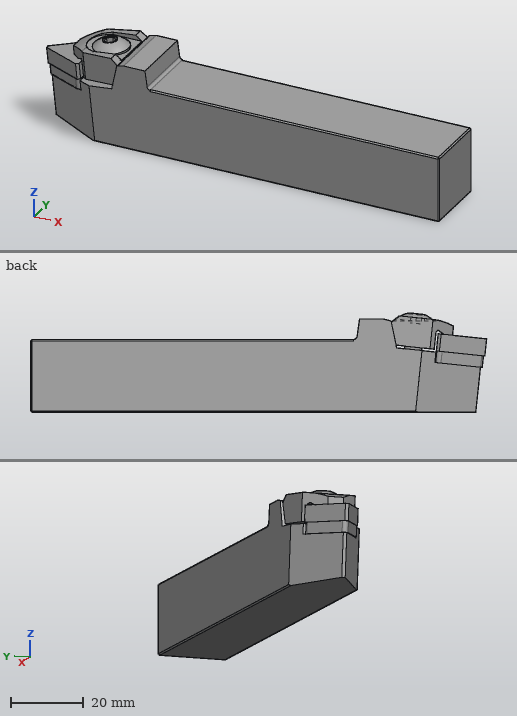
import cadquery as cq
import math


TOTAL_LENGTH = 125.0
WIDTH = 20.0
HALF_WIDTH = WIDTH / 2
SHANK_HEIGHT = 20.0
SHANK_CHAMFER = 0.4

BLOCK_TOP_Z = 25.6
BLOCK_FRONT_X = 26.25
BLOCK_SLOPE_END_X = 28.35
BLOCK_EDGE_DROP = 0.55
BLOCK_REAR_X = 34.9
BLOCK_REAR_LEAN = 8.0
BLOCK_FOOT_RADIUS = 0.9
SEAT_WALL_LEAN = 12.0

TIP_Z = 20.14
RAKE_ANGLE = 6.0

INSERT_HEIGHT = 14.29
INSERT_THICKNESS = 4.76
CORNER_FLAT = 1.0
CORNER_FLAT_DEPTH = CORNER_FLAT * math.sqrt(3) / 2

PLATE_THICKNESS = 3.18
PLATE_INSET = 0.12
PLATE_CORNER_RADIUS = 1.0
POCKET_WALL_U = INSERT_HEIGHT - CORNER_FLAT_DEPTH
CLAMP_FLOOR_W = -5.05

CLAMP_NOSE_U = 9.4
CLAMP_NOSE_HALF_WIDTH = 2.25
CLAMP_SIDE_U = 15.2
CLAMP_SIDE_HALF_WIDTH = 7.7
CLAMP_REAR_U = 27.0
CLAMP_REAR_HALF_WIDTH = 9.4
CLAMP_BOTTOM_W = -4.38
CLAMP_REAR_TOP_Z = 24.7
CLAMP_TOP_W = 3.74
CLAMP_NOSE_TOP_W = 2.52
CLAMP_CROWN_U = 14.6
CLAMP_CROWN_RISE = 0.25
CLAMP_LEG_U = 14.0
RELIEF_START_U = 11.9
RELIEF_PEAK_U = 13.5
RELIEF_DEPTH = 0.9
REAR_CHAMFER_U = 24.55
HEEL_CHAMFER = 0.15
CHANNEL_FLOOR_Z = 24.95
CHANNEL_HALF_WIDTH = 6.2
CHANNEL_RADIUS = 6.6

SCREW_U = 19.8
SCREW_HEAD_DIAMETER = 11.0
SCREW_HEAD_RISE = 2.4
SCREW_HEAD_BASE_W = 2.76
SCREW_HEAD_RIM = 1.0
SHAFT_DIAMETER = 4.8
SHAFT_ENGAGEMENT = 1.0
SOCKET_WIDTH = 3.0
SOCKET_MOUTH_DIAMETER = 4.2
SOCKET_MOUTH_DEPTH = 0.6
SOCKET_DEPTH = 3.0

FAR = 150.0
rake = math.radians(RAKE_ANGLE)
normal = cq.Vector(-math.sin(rake), 0, math.cos(rake))
along_u = cq.Vector(math.cos(rake), 0, math.sin(rake))


def point(u, w):
    """X and Z of a point in the tilted frame."""
    return (
        u * math.cos(rake) - w * math.sin(rake),
        TIP_Z + u * math.sin(rake) + w * math.cos(rake),
    )


def tilted_plane(u, w):
    """Plane parallel to the insert's top face with its origin at u, w."""
    x, z = point(u, w)
    return cq.Plane(cq.Vector(x, 0, z), along_u, normal)


def corner_edges(body):
    return body.edges(cq.selectors.ParallelDirSelector(normal))


def triangle_prism(tip_u, height, bottom_w, thickness):
    """Equilateral prism with its sharp corner pointing along -u."""
    half_side = height / math.sqrt(3)
    outline = [(tip_u, 0), (tip_u + height, -half_side), (tip_u + height, half_side)]
    return cq.Workplane(tilted_plane(0, bottom_w)).polyline(outline).close().extrude(thickness)


seat_lean = math.tan(math.radians(SEAT_WALL_LEAN))
seat_wall_top = (BLOCK_FRONT_X, BLOCK_TOP_Z - BLOCK_EDGE_DROP)
floor_front = point(POCKET_WALL_U, CLAMP_FLOOR_W)
floor_slope = math.tan(rake)
seat_foot_x = (
    seat_wall_top[0] - seat_lean * (seat_wall_top[1] - floor_front[1] + floor_slope * floor_front[0])
) / (1 - seat_lean * floor_slope)
seat_foot = (seat_foot_x, floor_front[1] + floor_slope * (seat_foot_x - floor_front[0]))
pocket_floor_w = -INSERT_THICKNESS - PLATE_THICKNESS


def seat_wall_x(z):
    return seat_wall_top[0] - seat_lean * (seat_wall_top[1] - z)


def make_shank():
    size = (TOTAL_LENGTH, WIDTH, SHANK_HEIGHT)
    shank = cq.Workplane("XY").box(*size, centered=(False, True, False))
    return shank.edges("|X or >X").chamfer(SHANK_CHAMFER)


def make_block():
    lean = math.radians(BLOCK_REAR_LEAN)
    corner_x = BLOCK_REAR_X + (BLOCK_TOP_Z - SHANK_HEIGHT) * math.tan(lean)
    tangent = BLOCK_FOOT_RADIUS * math.tan((math.pi / 2 - lean) / 2)
    foot_end_x = corner_x + tangent
    foot_start = (corner_x - tangent * math.sin(lean), SHANK_HEIGHT + tangent * math.cos(lean))
    mid_angle = (math.pi / 2 - lean) / 2
    foot_mid = (
        foot_end_x - BLOCK_FOOT_RADIUS * math.sin(mid_angle),
        SHANK_HEIGHT + BLOCK_FOOT_RADIUS * (1 - math.cos(mid_angle)),
    )
    return (
        cq.Workplane("XZ", origin=(0, HALF_WIDTH, 0))
        .moveTo(0, SHANK_HEIGHT / 2)
        .lineTo(0, BLOCK_TOP_Z)
        .lineTo(BLOCK_REAR_X, BLOCK_TOP_Z)
        .lineTo(*foot_start)
        .threePointArc(foot_mid, (foot_end_x, SHANK_HEIGHT))
        .lineTo(foot_end_x, SHANK_HEIGHT / 2)
        .close()
        .extrude(WIDTH)
    )


def make_seat_cut():
    """Everything removed above the plate pocket, the clamp floor and the block's sloped front."""
    outline = [
        point(-HALF_WIDTH, pocket_floor_w),
        point(POCKET_WALL_U, pocket_floor_w),
        floor_front,
        seat_foot,
        seat_wall_top,
        (BLOCK_SLOPE_END_X, BLOCK_TOP_Z),
        (BLOCK_SLOPE_END_X, FAR),
        (-FAR, FAR),
    ]
    return cq.Workplane("XZ", origin=(0, HALF_WIDTH, 0)).polyline(outline).close().extrude(WIDTH)


def make_head_wedge():
    """Tilted 60 degree wedge, opening to a bar wider than the shank."""
    reach = WIDTH
    start_u = CORNER_FLAT_DEPTH
    wedge_u = reach * math.sqrt(3)
    half_flat = CORNER_FLAT / 2
    outline = [
        (start_u, -half_flat),
        (wedge_u, -reach),
        (FAR, -reach),
        (FAR, reach),
        (wedge_u, reach),
        (start_u, half_flat),
    ]
    return cq.Workplane(tilted_plane(0, -FAR / 2)).polyline(outline).close().extrude(FAR)


def make_seat_plate():
    tip_u = -CORNER_FLAT_DEPTH + 2 * PLATE_INSET
    height = INSERT_HEIGHT - 3 * PLATE_INSET
    plate = triangle_prism(tip_u, height, pocket_floor_w, PLATE_THICKNESS)
    return corner_edges(plate).fillet(PLATE_CORNER_RADIUS)


def make_clamp():
    half_outline = [
        (CLAMP_NOSE_U, CLAMP_NOSE_HALF_WIDTH),
        (CLAMP_SIDE_U, CLAMP_SIDE_HALF_WIDTH),
        (CLAMP_REAR_U, CLAMP_REAR_HALF_WIDTH),
    ]
    outline = half_outline + [(u, -y) for u, y in reversed(half_outline)]
    height = CLAMP_TOP_W - CLAMP_BOTTOM_W
    plan = cq.Workplane(tilted_plane(0, CLAMP_BOTTOM_W)).polyline(outline).close().extrude(height)

    heel_z = point(seat_foot[0], CLAMP_BOTTOM_W)[1]
    crown_mid = (
        (CLAMP_NOSE_U + CLAMP_CROWN_U) / 2,
        (CLAMP_NOSE_TOP_W + CLAMP_TOP_W) / 2 + CLAMP_CROWN_RISE,
    )
    profile = (
        cq.Workplane("XZ", origin=(0, HALF_WIDTH, 0))
        .moveTo(*point(CLAMP_NOSE_U, 0))
        .lineTo(*point(CLAMP_NOSE_U, CLAMP_NOSE_TOP_W))
        .threePointArc(point(*crown_mid), point(CLAMP_CROWN_U, CLAMP_TOP_W))
        .lineTo(*point(REAR_CHAMFER_U, CLAMP_TOP_W))
        .lineTo(seat_wall_x(CLAMP_REAR_TOP_Z), CLAMP_REAR_TOP_Z)
        .lineTo(seat_wall_x(heel_z + HEEL_CHAMFER), heel_z + HEEL_CHAMFER)
        .lineTo(seat_wall_x(heel_z) - HEEL_CHAMFER, heel_z)
        .lineTo(*point(CLAMP_LEG_U, CLAMP_BOTTOM_W))
        .lineTo(*point(CLAMP_LEG_U, RELIEF_DEPTH / 2))
        .lineTo(*point(RELIEF_PEAK_U, RELIEF_DEPTH))
        .lineTo(*point(RELIEF_START_U, 0))
        .close()
        .extrude(WIDTH)
    )
    arc_end = math.sqrt(CHANNEL_RADIUS**2 - CHANNEL_HALF_WIDTH**2)
    screw_x = point(SCREW_U, CLAMP_TOP_W)[0]
    channel = (
        cq.Workplane("XY", origin=(screw_x, 0, CHANNEL_FLOOR_Z))
        .moveTo(FAR, -CHANNEL_HALF_WIDTH)
        .lineTo(-arc_end, -CHANNEL_HALF_WIDTH)
        .threePointArc((-CHANNEL_RADIUS, 0), (-arc_end, CHANNEL_HALF_WIDTH))
        .lineTo(FAR, CHANNEL_HALF_WIDTH)
        .close()
        .extrude(FAR)
    )
    return plan.intersect(profile).cut(channel)


def make_screw():
    radius = SCREW_HEAD_DIAMETER / 2
    sphere_radius = (radius**2 + SCREW_HEAD_RISE**2) / (2 * SCREW_HEAD_RISE)
    mid_angle = math.asin(radius / sphere_radius) / 2
    dome_mid = (
        sphere_radius * math.sin(mid_angle),
        SCREW_HEAD_RISE - sphere_radius * (1 - math.cos(mid_angle)),
    )
    base_plane = tilted_plane(SCREW_U, SCREW_HEAD_BASE_W)
    head_plane = cq.Plane(base_plane.origin, along_u, cq.Vector(0, -1, 0))
    shaft_bottom = CLAMP_FLOOR_W - SCREW_HEAD_BASE_W - SHAFT_ENGAGEMENT
    screw = (
        cq.Workplane(head_plane)
        .moveTo(0, shaft_bottom)
        .lineTo(SHAFT_DIAMETER / 2, shaft_bottom)
        .lineTo(SHAFT_DIAMETER / 2, -SCREW_HEAD_RIM)
        .lineTo(radius, -SCREW_HEAD_RIM)
        .lineTo(radius, 0)
        .threePointArc(dome_mid, (0, SCREW_HEAD_RISE))
        .close()
        .revolve(360, (0, 0), (0, 1))
    )
    crown_w = SCREW_HEAD_BASE_W + SCREW_HEAD_RISE
    hexagon = (
        cq.Workplane(tilted_plane(SCREW_U, crown_w - SOCKET_DEPTH))
        .polygon(6, SOCKET_WIDTH, circumscribed=True)
        .extrude(SOCKET_DEPTH)
    )
    mouth = (
        cq.Workplane(tilted_plane(SCREW_U, crown_w - SOCKET_MOUTH_DEPTH))
        .circle(SOCKET_MOUTH_DIAMETER / 2)
        .extrude(SOCKET_MOUTH_DEPTH)
    )
    return screw, hexagon.union(mouth)


holder = make_shank().union(make_block()).cut(make_seat_cut()).intersect(make_head_wedge())
screw, socket = make_screw()
holder = holder.union(make_seat_plate()).union(make_clamp()).union(screw).cut(socket)

insert = triangle_prism(-CORNER_FLAT_DEPTH, INSERT_HEIGHT, -INSERT_THICKNESS, INSERT_THICKNESS)
insert = corner_edges(insert).chamfer(CORNER_FLAT)

result = cq.Compound.makeCompound([holder.val(), insert.val()])